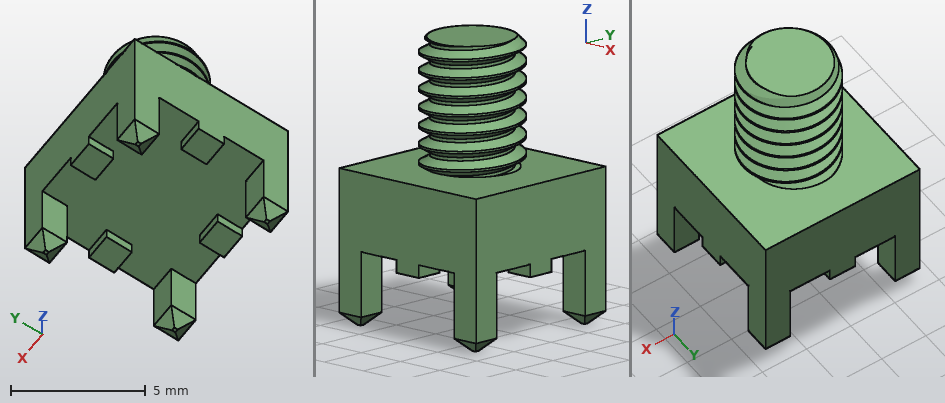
import cadquery as cq
import math

total_height = 11.0
body_width = 7.0
stud_length = 5.0
leg_width = 1.12
leg_length = 2.98
tip_height = 0.48
tip_taper = 45.0

pad_width = 1.15
pad_depth = leg_width
pad_height = 0.5

thread_radius = 2.0
thread_depth = 0.42
thread_pitch = 0.7
crest_width = 0.09
flank_angle = 30.0
top_chamfer = 0.3
ridge_height = 0.45
root_overlap = 0.03
blank_margin = 0.22
core_margin = 2.2

root_radius = thread_radius - thread_depth
body_top = total_height - stud_length
leg_offset = (body_width - leg_width) / 2
signs = (-1, 1)


def make_housing():
    block_height = body_top - leg_length
    return (
        cq.Workplane("XY")
        .workplane(offset=leg_length)
        .rect(body_width, body_width)
        .extrude(block_height)
    )


def make_legs():
    centers = [(x * leg_offset, y * leg_offset) for x in signs for y in signs]
    shoulder = cq.Workplane("XY").workplane(offset=tip_height).pushPoints(centers)
    shafts = shoulder.rect(leg_width, leg_width).extrude(leg_length - tip_height)
    tips = shoulder.rect(leg_width, leg_width).extrude(-tip_height, taper=tip_taper)
    return shafts.union(tips)


def make_pads():
    pad_offset = (body_width - pad_depth) / 2
    plane = cq.Workplane("XY").workplane(offset=leg_length - pad_height)
    side_centers = [(sign * pad_offset, 0) for sign in signs]
    end_centers = [(0, sign * pad_offset) for sign in signs]
    side_pads = plane.pushPoints(side_centers).rect(pad_depth, pad_width).extrude(pad_height)
    end_pads = plane.pushPoints(end_centers).rect(pad_width, pad_depth).extrude(pad_height)
    return side_pads.union(end_pads)


def make_ridge_edge(radius, start, height):
    helix = cq.Wire.makeHelix(thread_pitch, height, radius)
    return helix.translate(cq.Vector(0, 0, start)).Edges()[0]


def make_thread_ridge():
    inner_radius = root_radius - root_overlap
    crest_half = crest_width / 2
    slope = math.tan(math.radians(flank_angle))
    inner_half = crest_half + (thread_radius - inner_radius) * slope
    corners = [
        (inner_radius, -inner_half),
        (thread_radius, -crest_half),
        (thread_radius, crest_half),
        (inner_radius, inner_half),
    ]

    start = ridge_height - 2 * thread_pitch
    helix_height = stud_length + 3 * thread_pitch
    edges = [make_ridge_edge(radius, start + rise, helix_height) for radius, rise in corners]
    walls = [cq.Face.makeRuledSurface(edges[i - 1], edges[i]) for i in range(len(edges))]
    caps = []
    for end in (cq.Edge.startPoint, cq.Edge.endPoint):
        outline = cq.Wire.makePolygon([end(edge) for edge in edges], close=True)
        caps.append(cq.Face.makeFromWires(outline))
    return cq.Workplane(obj=cq.Solid.makeSolid(cq.Shell.makeShell(walls + caps)))


def make_stud():
    blank_radius = thread_radius + blank_margin
    blank = cq.Workplane("XY").circle(blank_radius).extrude(stud_length)
    blank = blank.faces(">Z").chamfer(top_chamfer + blank_margin)
    core_plane = cq.Workplane("XY").workplane(offset=-core_margin)
    core = core_plane.circle(root_radius).extrude(stud_length + 2 * core_margin)
    stud = core.union(make_thread_ridge(), clean=False).intersect(blank)
    return stud.translate((0, 0, body_top))


result = make_housing().union(make_legs()).union(make_pads()).union(make_stud())